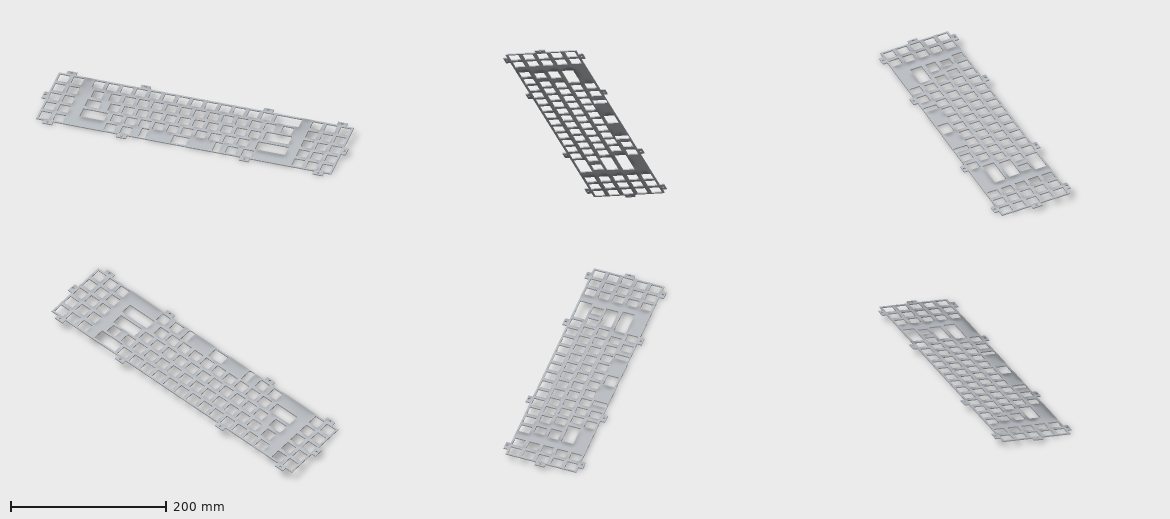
import cadquery as cq


KEY_PITCH = 19.05
COLUMNS = 21
ROWS = 5
SWITCH_SIZE = 14.0

THICKNESS = 1.5
TILT_DEGREES = 5.3
BODY_LENGTH = COLUMNS * KEY_PITCH
BODY_DEPTH = ROWS * KEY_PITCH

TAB_REACH = 6.0
TAB_WIDTH = 13.0
INNER_TAB_X = 83.2
OUTER_TAB_X = 183.4
HOLE_DIAMETER = 2.53
COUNTERBORE_DIAMETER = 3.09
COUNTERBORE_DEPTH = THICKNESS / 2

LEFT_BLOCK = (0.5, 2)
RIGHT_BLOCK = (18.5, 3)
MAIN_ROWS = [
    [(5.125, 1), (6.25, 1), (13.75, 1), (14.875, 1)],
    [(5.25, 10)],
    [(4.75, 11)],
    [(3.25, 1), (4.5, 12), (16.75, 1)],
    [(3.0, 13)],
]
SPACE_ROW = 0
SHIFT_ROW = 1
CAPS_ROW = 2
NUMBER_ROW = 4

CAPS_LEFT_COLUMN = 3.125
CAPS_RIGHT_COLUMN = 3.375

STABILIZER_EXTRA = 2.0
BACKSPACE_COLUMN = 16.5
BACKSPACE_LEFT_REACH = 17.35
BACKSPACE_RIGHT_REACH = 16.65
ENTER_COLUMN = 16.375
ENTER_LEFT_REACH = 17.7
ENTER_RIGHT_REACH = 16.9
LEFT_SHIFT_COLUMN = 3.625
LEFT_SHIFT_LEFT_REACH = 16.65
LEFT_SHIFT_RIGHT_REACH = 16.85
RIGHT_SHIFT_COLUMN = 16.125
RIGHT_SHIFT_LEFT_REACH = 17.1
RIGHT_SHIFT_RIGHT_REACH = 23.9

SPACE_SWITCH_COLUMN = 10.07
SPACE_SWITCH_LENGTH = 21.1
SPACE_SWITCH_EXTRA = 1.1
SLOT_CENTRE_COLUMN = 10.09
SLOT_OFFSET = 50.0
SLOT_WIDTH = 9.25
SLOT_FRONT_REACH = 9.0
SLOT_REAR_REACH = 10.1
SLOT_CORNER_RADIUS = 3.0


def column_x(column):
    return (column - COLUMNS / 2) * KEY_PITCH


def row_y(row):
    return (row + 0.5 - ROWS / 2) * KEY_PITCH


def block(left, right, front, rear):
    """Box of sheet thickness between the given sides."""
    centre = ((left + right) / 2, (front + rear) / 2, 0)
    return cq.Workplane("XY").box(right - left, rear - front, THICKNESS).translate(centre)


def opening(left, right, row, extra_front=0.0, extra_rear=0.0):
    """Opening as deep as a switch in the given row, lengthened to the front or rear."""
    half = SWITCH_SIZE / 2
    return block(left, right, row_y(row) - half - extra_front, row_y(row) + half + extra_rear)


def body_with_tabs():
    """Rectangular body; each pair of opposite tabs is the two ends of a strip that crosses it."""
    half_length = BODY_LENGTH / 2
    half_depth = BODY_DEPTH / 2
    half_tab = TAB_WIDTH / 2
    body = block(-half_length, half_length, -half_depth, half_depth)
    side_tabs = block(-half_length - TAB_REACH, half_length + TAB_REACH, -half_tab, half_tab)
    body = body.union(side_tabs)
    for x in (-OUTER_TAB_X, -INNER_TAB_X, INNER_TAB_X, OUTER_TAB_X):
        end_tabs = block(x - half_tab, x + half_tab, -half_depth - TAB_REACH, half_depth + TAB_REACH)
        body = body.union(end_tabs)
    return body


def drill_tabs(body):
    """Cut a stepped screw hole in the middle of every tab."""
    hole_x = (BODY_LENGTH + TAB_REACH) / 2
    hole_y = (BODY_DEPTH + TAB_REACH) / 2
    places = [(-hole_x, 0), (hole_x, 0)]
    for x in (-OUTER_TAB_X, -INNER_TAB_X, INNER_TAB_X, OUTER_TAB_X):
        places += [(x, -hole_y), (x, hole_y)]
    top = cq.Workplane("XY").workplane(offset=THICKNESS / 2).pushPoints(places)
    through_holes = top.circle(HOLE_DIAMETER / 2).extrude(-THICKNESS)
    counterbores = top.circle(COUNTERBORE_DIAMETER / 2).extrude(-COUNTERBORE_DEPTH)
    return body.cut(through_holes).cut(counterbores)


def switch_openings():
    """One square opening for each ordinary key."""
    places = []
    for row, main_runs in enumerate(MAIN_ROWS):
        for first, count in [LEFT_BLOCK, *main_runs, RIGHT_BLOCK]:
            places += [(column_x(first + i), row_y(row)) for i in range(count)]
    bottom = cq.Workplane("XY").workplane(offset=-THICKNESS / 2)
    return bottom.pushPoints(places).rect(SWITCH_SIZE, SWITCH_SIZE).extrude(THICKNESS)


def wide_key_openings():
    half = SWITCH_SIZE / 2
    backspace_x = column_x(BACKSPACE_COLUMN)
    enter_x = column_x(ENTER_COLUMN)
    left_shift_x = column_x(LEFT_SHIFT_COLUMN)
    right_shift_x = column_x(RIGHT_SHIFT_COLUMN)
    caps_lock = opening(column_x(CAPS_LEFT_COLUMN) - half, column_x(CAPS_RIGHT_COLUMN) + half, CAPS_ROW)
    backspace = opening(
        backspace_x - BACKSPACE_LEFT_REACH,
        backspace_x + BACKSPACE_RIGHT_REACH,
        NUMBER_ROW,
        extra_front=STABILIZER_EXTRA,
    )
    enter = opening(
        enter_x - ENTER_LEFT_REACH,
        enter_x + ENTER_RIGHT_REACH,
        CAPS_ROW,
        extra_rear=STABILIZER_EXTRA,
    )
    left_shift = opening(
        left_shift_x - LEFT_SHIFT_LEFT_REACH,
        left_shift_x + LEFT_SHIFT_RIGHT_REACH,
        SHIFT_ROW,
        extra_front=STABILIZER_EXTRA,
    )
    right_shift = opening(
        right_shift_x - RIGHT_SHIFT_LEFT_REACH,
        right_shift_x + RIGHT_SHIFT_RIGHT_REACH,
        SHIFT_ROW,
        extra_front=STABILIZER_EXTRA,
    )
    return [caps_lock, backspace, enter, left_shift, right_shift]


def space_bar_slot(x):
    y = row_y(SPACE_ROW)
    slot = block(x - SLOT_WIDTH / 2, x + SLOT_WIDTH / 2, y - SLOT_FRONT_REACH, y + SLOT_REAR_REACH)
    return slot.edges("|Z and <Y").fillet(SLOT_CORNER_RADIUS)


def space_bar_openings():
    switch_x = column_x(SPACE_SWITCH_COLUMN)
    half = SPACE_SWITCH_LENGTH / 2
    switch = opening(switch_x - half, switch_x + half, SPACE_ROW, extra_rear=SPACE_SWITCH_EXTRA)
    slots_x = column_x(SLOT_CENTRE_COLUMN)
    return [switch, space_bar_slot(slots_x - SLOT_OFFSET), space_bar_slot(slots_x + SLOT_OFFSET)]


plate = drill_tabs(body_with_tabs())
plate = plate.cut(switch_openings())
for cutout in wide_key_openings() + space_bar_openings():
    plate = plate.cut(cutout)

result = plate.solids().rotate((0, 0, 0), (1, 0, 0), TILT_DEGREES)